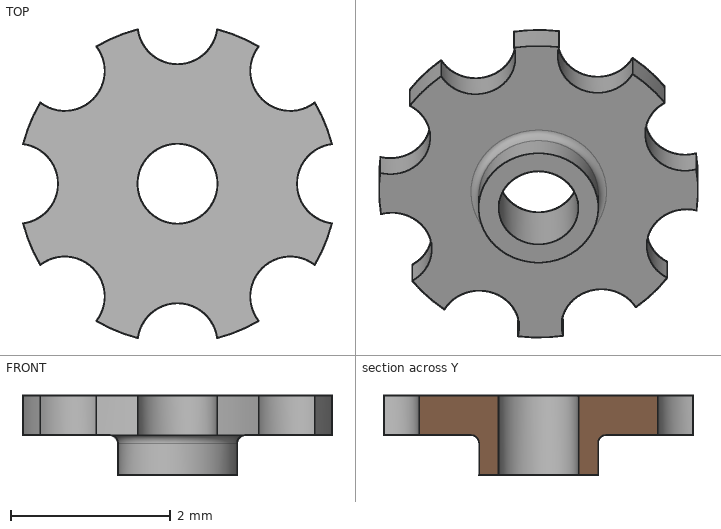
import cadquery as cq

overall_width = 3.88
notch_count = 8
notches_per_rim_radius = 4

rim_radius = overall_width / 2 / (1 - 1 / (2 * notches_per_rim_radius**2))
notch_radius = rim_radius / notches_per_rim_radius
bore_radius = notch_radius
wheel_thickness = notch_radius
hub_length = notch_radius
hub_radius = 1.5 * notch_radius
hub_fillet = 0.2 * notch_radius


def make_blank():
    """Disc with its underside at Z = 0 and a filleted hub below it."""
    disc = cq.Workplane("XY").circle(rim_radius).extrude(wheel_thickness)
    hub = cq.Workplane("XY").circle(hub_radius).extrude(-hub_length)
    hub_root = cq.selectors.RadiusNthSelector(0)
    return disc.union(hub).faces("<Z[1]").edges(hub_root).fillet(hub_fillet)


def make_notches():
    """Ring of round cutters centred on the rim, one on each main axis."""
    return (
        cq.Workplane("XY")
        .polarArray(rim_radius, 0, 360, notch_count)
        .circle(notch_radius)
        .extrude(wheel_thickness)
    )


def make_bore():
    """Cutter for the round hole through the wheel and hub."""
    return (
        cq.Workplane("XY")
        .workplane(offset=-hub_length)
        .circle(bore_radius)
        .extrude(hub_length + wheel_thickness)
    )


result = make_blank().cut(make_notches()).cut(make_bore())